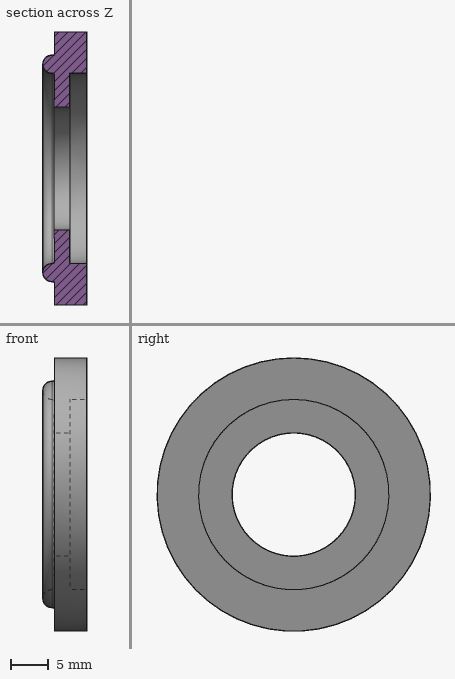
import math

import cadquery as cq

disc_diameter = 36.0
hole_diameter = 16.2
disc_thickness = 4.25

overall_thickness = 5.8
bead_outer_diameter = 29.85
bead_width = 2.4
bead_root_fillet = 0.25

web_edge_thickness = 2.12
web_rise_angle = 1.2

disc_radius = disc_diameter / 2
hole_radius = hole_diameter / 2
bead_outer_radius = bead_outer_diameter / 2
bead_inner_radius = bead_outer_radius - bead_width
web_outer_radius = bead_inner_radius - bead_root_fillet
recess_radius = bead_inner_radius
bead_crown_radius = bead_width / 2
bead_mid_radius = bead_outer_radius - bead_crown_radius

front_face_x = -disc_thickness
crown_x = -overall_thickness
bead_wall_x = crown_x + bead_crown_radius
fillet_x = front_face_x - bead_root_fillet
web_rise = (web_outer_radius - hole_radius) * math.tan(math.radians(web_rise_angle))
hole_front_x = front_face_x - web_rise
recess_floor_x = hole_front_x + web_edge_thickness
fillet_mid_offset = bead_root_fillet * (1 - math.sqrt(0.5))


def make_part():
    """Revolve the half section, drawn as (x, radius), about the X axis."""
    section = (
        cq.Workplane("XZ")
        .moveTo(recess_floor_x, hole_radius)
        .lineTo(recess_floor_x, recess_radius)
        .lineTo(0, recess_radius)
        .lineTo(0, disc_radius)
        .lineTo(front_face_x, disc_radius)
        .lineTo(front_face_x, bead_outer_radius + bead_root_fillet)
        .threePointArc(
            (front_face_x - fillet_mid_offset, bead_outer_radius + fillet_mid_offset),
            (fillet_x, bead_outer_radius),
        )
        .lineTo(bead_wall_x, bead_outer_radius)
        .threePointArc((crown_x, bead_mid_radius), (bead_wall_x, bead_inner_radius))
        .lineTo(fillet_x, bead_inner_radius)
        .threePointArc(
            (front_face_x - fillet_mid_offset, bead_inner_radius - fillet_mid_offset),
            (front_face_x, web_outer_radius),
        )
        .lineTo(hole_front_x, hole_radius)
        .close()
    )
    return section.revolve(360, (0, 0, 0), (1, 0, 0))


result = make_part()